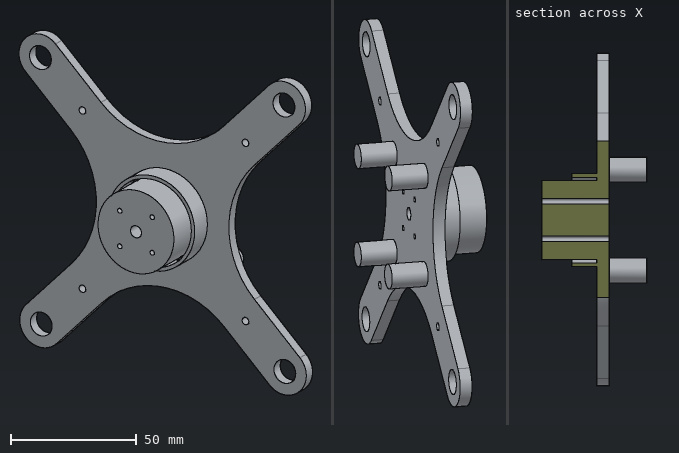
import cadquery as cq
import math

plate_thickness = 5.0
arm_reach = 79.5
arm_end_radius = 10.0
arm_hole_diameter = 10.0
web_radius = 40.0
plate_twist = 0.2
arm_count = 4

hub_x = 0.7
hub_z = -0.4
mount_hole_spacing = 75.3
mount_hole_diameter = 3.0

collar_diameter = 40.1
collar_bore = 37.0
collar_length = 10.0
notch_width = 14.7
notch_depth = 2.5
body_diameter = 35.0
body_projection = 12.0
center_hole_diameter = 5.0
body_hole_spacing = 15.0
body_hole_diameter = 2.0

pin_spacing = 40.1
pin_diameter = 10.0
pin_length = 15.0

body_length = collar_length + body_projection
full_depth = plate_thickness + body_length


def front_plane(y, x=0, z=0):
    """Sketch plane whose normal points toward -Y."""
    return cq.Workplane("XZ", origin=(x, y, z))


def hub_plane(y):
    return front_plane(y, hub_x, hub_z)


def square_pattern(spacing):
    half = spacing / 2
    return [(x, z) for x in (-half, half) for z in (-half, half)]


def turned(point, angle):
    c = math.cos(math.radians(angle))
    s = math.sin(math.radians(angle))
    return (point[0] * c - point[1] * s, point[0] * s + point[1] * c)


def make_plate():
    web_offset = arm_end_radius + web_radius
    web_middle = web_offset - web_radius / math.sqrt(2)
    arm_points = [
        (web_offset, -arm_end_radius),
        (arm_reach, -arm_end_radius),
        (arm_reach + arm_end_radius, 0),
        (arm_reach, arm_end_radius),
        (web_offset, arm_end_radius),
        (web_middle, web_middle),
        (arm_end_radius, web_offset),
    ]
    step = 360 / arm_count
    first_angle = step / 2 + plate_twist
    outline = front_plane(0).moveTo(*turned(arm_points[0], first_angle))
    hole_centers = []
    for i in range(arm_count):
        angle = first_angle + i * step
        _, end_start, tip, end_finish, web_start, web_mid, web_end = [
            turned(point, angle) for point in arm_points
        ]
        outline = outline.lineTo(*end_start)
        outline = outline.threePointArc(tip, end_finish)
        outline = outline.lineTo(*web_start)
        outline = outline.threePointArc(web_mid, web_end)
        hole_centers.append(turned((arm_reach, 0), angle))
    plate = outline.close().extrude(plate_thickness)
    holes = front_plane(0).pushPoints(hole_centers).circle(arm_hole_diameter / 2)
    return plate.cut(holes.extrude(plate_thickness))


def make_collar():
    collar = hub_plane(-plate_thickness).circle(collar_diameter / 2).circle(collar_bore / 2)
    collar = collar.extrude(collar_length)
    notch = hub_plane(-plate_thickness).center(-collar_diameter / 2, 0)
    notch = notch.rect(collar_diameter / 2, notch_width).extrude(notch_depth)
    return collar.cut(notch)


def make_body():
    return hub_plane(-plate_thickness).circle(body_diameter / 2).extrude(body_length)


def make_pins():
    pins = hub_plane(0).pushPoints(square_pattern(pin_spacing))
    return pins.circle(pin_diameter / 2).extrude(-pin_length)


def through_holes(centers, diameter):
    return hub_plane(0).pushPoints(centers).circle(diameter / 2).extrude(full_depth)


result = make_plate().union(make_collar()).union(make_body()).union(make_pins())
result = result.cut(through_holes(square_pattern(mount_hole_spacing), mount_hole_diameter))
result = result.cut(through_holes(square_pattern(body_hole_spacing), body_hole_diameter))
result = result.cut(through_holes([(0, 0)], center_hole_diameter))